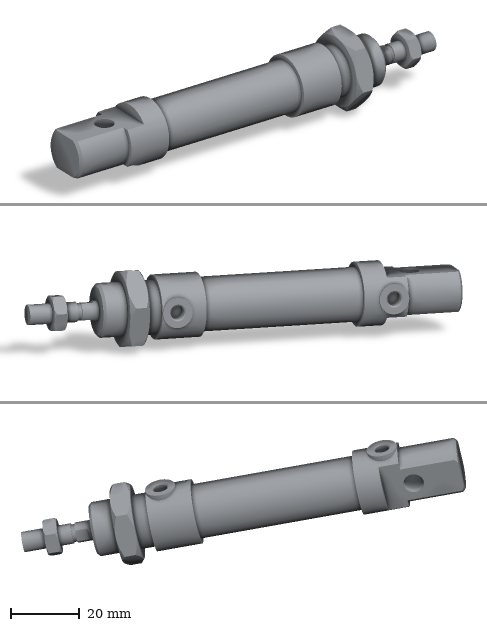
import cadquery as cq
import math

LENGTH = 130.0

BODY_DIA = 16.0
COLLAR_DIA = 19.0
COLLAR_LENGTH = 13.4
HOUSING_LENGTH = 109.1
END_CHAMFER = 0.8
REAR_COLLAR_START = 17.0
FRONT_COLLAR_START = 78.4
FRONT_COLLAR_END = FRONT_COLLAR_START + COLLAR_LENGTH

TONGUE_THICKNESS = 12.0
TONGUE_LENGTH = 23.0
PIVOT_DIA = 6.0
PIVOT_Y = 14.0

PORT_BOSS_DIA = 9.0
PORT_FACE_X = -10.0
PORT_INSET = PORT_BOSS_DIA / 2
PORT_DIA = 4.2
PORT_MOUTH_DIA = 5.0
PORT_DEPTH = 3.9

ROD_DIA = 6.0
NECK_DIA = 5.2
NECK_START = 114.1
NECK_END = 115.3
ROD_ANGLE = -8.0
WRENCH_WIDTH = 5.0
WRENCH_START = 110.6

MOUNT_NUT_FLATS = 22.0
MOUNT_NUT_THICKNESS = 6.0
MOUNT_NUT_Y = 96.1
MOUNT_NUT_ANGLE = -12.0
ROD_NUT_FLATS = 10.0
ROD_NUT_THICKNESS = 4.0
ROD_NUT_Y = 119.2
ROD_NUT_ANGLE = ROD_ANGLE
NUT_CHAMFER_SLOPE = 0.8


def cylinder_y(diameter, start, end):
    """Cylinder on the Y axis between two Y positions."""
    return cq.Workplane("XZ", origin=(0, start, 0)).circle(diameter / 2).extrude(start - end)


def cylinder_x(diameter, start_x, end_x, y):
    """Cylinder parallel to X between two X positions."""
    return cq.Workplane("YZ", origin=(start_x, y, 0)).circle(diameter / 2).extrude(end_x - start_x)


def make_port_hole(y):
    """Blind port hole with a 45 degree countersunk mouth."""
    bore_radius = PORT_DIA / 2
    mouth_radius = PORT_MOUTH_DIA / 2
    sink_depth = mouth_radius - bore_radius
    hole = cylinder_x(PORT_DIA, PORT_FACE_X, PORT_FACE_X + PORT_DEPTH, y)
    mouth = cq.Solid.makeCone(
        mouth_radius, bore_radius, sink_depth, cq.Vector(PORT_FACE_X, y, 0), cq.Vector(1, 0, 0)
    )
    return hole.union(cq.Workplane(mouth))


def make_tongue_cutter(side):
    """Block that clears the material above (side = 1) or below (side = -1) the tongue."""
    block = cq.Workplane("XY").box(COLLAR_DIA, TONGUE_LENGTH, COLLAR_DIA)
    offset_z = side * (TONGUE_THICKNESS + COLLAR_DIA) / 2
    return block.translate((0, TONGUE_LENGTH / 2, offset_z))


def make_housing():
    housing = cylinder_y(BODY_DIA, 0, HOUSING_LENGTH).faces("<Y or >Y").chamfer(END_CHAMFER)
    for start in (REAR_COLLAR_START, FRONT_COLLAR_START):
        housing = housing.union(cylinder_y(COLLAR_DIA, start, start + COLLAR_LENGTH))
    for side in (-1, 1):
        housing = housing.cut(make_tongue_cutter(side))
    pivot = cq.Workplane("XY").center(0, PIVOT_Y).circle(PIVOT_DIA / 2).extrude(COLLAR_DIA, both=True)
    housing = housing.cut(pivot)
    for y in (REAR_COLLAR_START + PORT_INSET, FRONT_COLLAR_END - PORT_INSET):
        housing = housing.union(cylinder_x(PORT_BOSS_DIA, PORT_FACE_X, 0, y)).cut(make_port_hole(y))
    return housing


def make_wrench_cutter(angle):
    """Block that cuts one wrench flat, with a 45 degree runout at its -Y end."""
    flat_z = WRENCH_WIDTH / 2
    top_z = ROD_DIA
    cutter = (
        cq.Workplane("YZ")
        .moveTo(WRENCH_START, flat_z)
        .lineTo(NECK_START, flat_z)
        .lineTo(NECK_START, top_z)
        .lineTo(WRENCH_START - (top_z - flat_z), top_z)
        .close()
        .extrude(ROD_DIA / 2, both=True)
    )
    return cutter.rotate((0, 0, 0), (0, 1, 0), -angle)


def make_rod():
    rod = cylinder_y(ROD_DIA, HOUSING_LENGTH, NECK_START)
    rod = rod.cut(make_wrench_cutter(ROD_ANGLE)).cut(make_wrench_cutter(ROD_ANGLE + 180))
    rod = rod.union(cylinder_y(NECK_DIA, NECK_START, NECK_END))
    return rod.union(cylinder_y(ROD_DIA, NECK_END, LENGTH))


def make_nut(flats, thickness, bore_dia, start_y, angle):
    """Hexagon nut with its corners cut by a cone at both ends."""
    corner_dia = flats / math.cos(math.radians(30))
    corner_radius = corner_dia / 2
    face_radius = flats / 2
    drop = (corner_radius - face_radius) * NUT_CHAMFER_SLOPE
    end_y = start_y + thickness
    hexagon = (
        cq.Workplane("XZ", origin=(0, start_y, 0))
        .transformed(rotate=(0, 0, angle))
        .polygon(6, corner_dia)
        .extrude(-thickness)
    )
    envelope = (
        cq.Workplane("XY")
        .moveTo(0, start_y)
        .lineTo(face_radius, start_y)
        .lineTo(corner_radius, start_y + drop)
        .lineTo(corner_radius, end_y - drop)
        .lineTo(face_radius, end_y)
        .lineTo(0, end_y)
        .close()
        .revolve(360, (0, 0, 0), (0, 1, 0))
    )
    return hexagon.intersect(envelope).cut(cylinder_y(bore_dia, start_y, end_y))


housing = make_housing()
rod = make_rod()
mount_nut = make_nut(MOUNT_NUT_FLATS, MOUNT_NUT_THICKNESS, BODY_DIA, MOUNT_NUT_Y, MOUNT_NUT_ANGLE)
rod_nut = make_nut(ROD_NUT_FLATS, ROD_NUT_THICKNESS, ROD_DIA, ROD_NUT_Y, ROD_NUT_ANGLE)

result = cq.Compound.makeCompound([housing.val(), rod.val(), mount_nut.val(), rod_nut.val()])